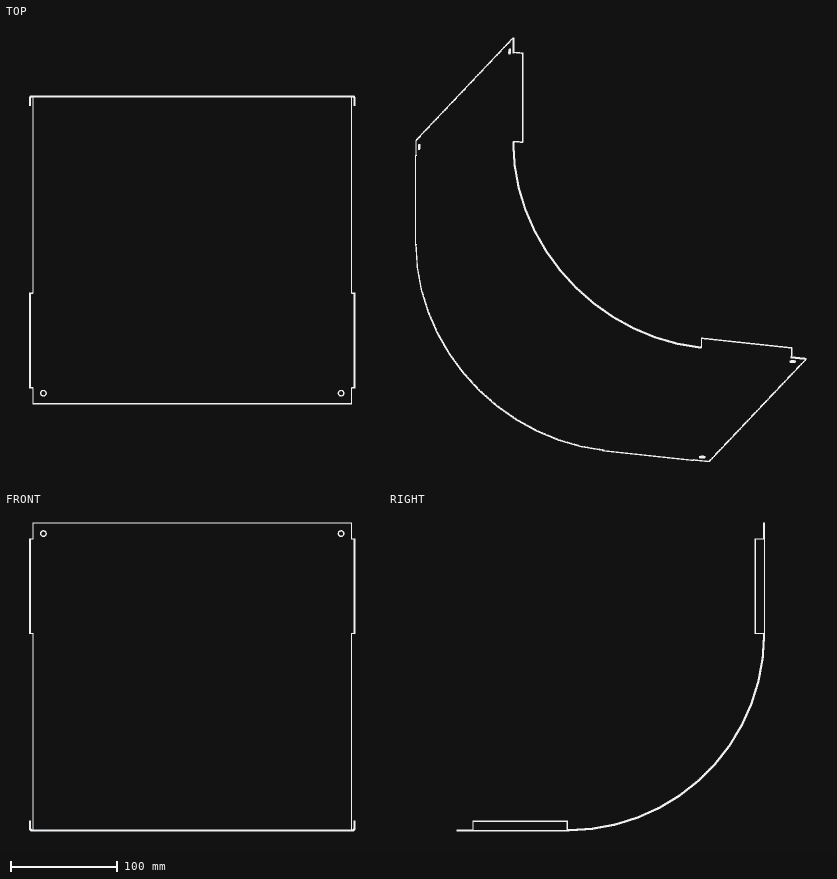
import cadquery as cq
import math

overall = 289.53
sheet_width = 300.0
flange_span = 306.0
thickness = 1.0
panel_length = 104.78
flange_length = 89.0
flange_end_gap = 15.0
flange_height = 9.0
flange_bend_radius = 1.0
hole_diameter = 5.0
hole_inset = 10.0

outer_radius = overall - panel_length
inner_radius = outer_radius - thickness
flange_outer_bend = flange_bend_radius + thickness
half_overall = overall / 2
diagonal = math.sqrt(0.5)


def make_bent_sheet():
    """Flat floor panel, quarter bend and flat wall panel, without flanges."""
    free_end = -half_overall
    bend_start = free_end + panel_length
    bend_top = outer_radius
    wall_outer = half_overall
    wall_inner = wall_outer - thickness
    outer_mid = (bend_start + outer_radius * diagonal, outer_radius * (1 - diagonal))
    inner_mid = (bend_start + inner_radius * diagonal, outer_radius - inner_radius * diagonal)
    return (
        cq.Workplane("YZ")
        .moveTo(free_end, 0)
        .lineTo(bend_start, 0)
        .threePointArc(outer_mid, (wall_outer, bend_top))
        .lineTo(wall_outer, overall)
        .lineTo(wall_inner, overall)
        .lineTo(wall_inner, bend_top)
        .threePointArc(inner_mid, (bend_start, thickness))
        .lineTo(free_end, thickness)
        .close()
        .extrude(sheet_width / 2, both=True)
    )


def make_floor_flange():
    """Flange along the +X side of the floor panel, turned up through a right angle."""
    outer = flange_span / 2
    inner = outer - thickness
    bend_centre_x = outer - flange_outer_bend
    root = sheet_width / 2 - thickness
    outer_mid = (bend_centre_x + flange_outer_bend * diagonal, flange_outer_bend * (1 - diagonal))
    inner_mid = (
        bend_centre_x + flange_bend_radius * diagonal,
        flange_outer_bend - flange_bend_radius * diagonal,
    )
    return (
        cq.Workplane("XZ", origin=(0, -half_overall + flange_end_gap + flange_length, 0))
        .moveTo(root, 0)
        .lineTo(bend_centre_x, 0)
        .threePointArc(outer_mid, (outer, flange_outer_bend))
        .lineTo(outer, flange_height)
        .lineTo(inner, flange_height)
        .lineTo(inner, flange_outer_bend)
        .threePointArc(inner_mid, (bend_centre_x, thickness))
        .lineTo(root, thickness)
        .close()
        .extrude(flange_length)
    )


def make_floor_hole():
    """Cutter for the hole in the +X corner of the floor panel."""
    return (
        cq.Workplane("XY")
        .center(sheet_width / 2 - hole_inset, -half_overall + hole_inset)
        .circle(hole_diameter / 2)
        .extrude(thickness)
    )


def on_all_corners(floor_feature):
    """Copy a +X floor feature to both sides of the floor and of the wall."""
    mirror_normal = cq.Vector(0, 1, 1)
    mirror_point = (0, 0, half_overall)
    floor_pair = [floor_feature, floor_feature.mirror("YZ")]
    wall_pair = [feature.mirror(mirror_normal, mirror_point) for feature in floor_pair]
    return floor_pair + wall_pair


result = make_bent_sheet()
for flange in on_all_corners(make_floor_flange()):
    result = result.union(flange)
for hole in on_all_corners(make_floor_hole()):
    result = result.cut(hole)